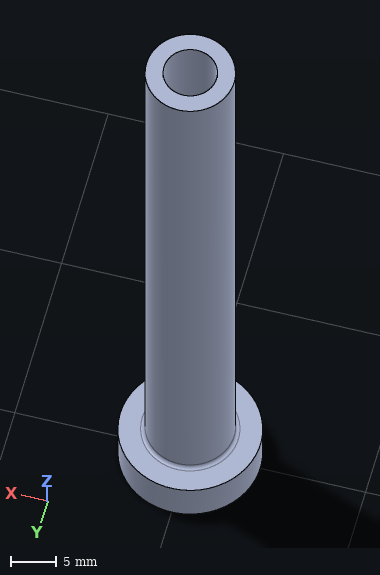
import cadquery as cq

total_length = 80.0
head_diameter = 16.0
head_height = 5.0
shaft_diameter = 10.0
bore_diameter = 6.0
neck_fillet = 0.5

head_radius = head_diameter / 2
shaft_radius = shaft_diameter / 2
bore_radius = bore_diameter / 2

half_section = (
    cq.Workplane("XZ")
    .moveTo(bore_radius, 0)
    .lineTo(head_radius, 0)
    .lineTo(head_radius, head_height)
    .lineTo(shaft_radius + neck_fillet, head_height)
    .radiusArc((shaft_radius, head_height + neck_fillet), neck_fillet)
    .lineTo(shaft_radius, total_length)
    .lineTo(bore_radius, total_length)
    .close()
)

result = half_section.revolve(360, (0, 0, 0), (0, 1, 0))